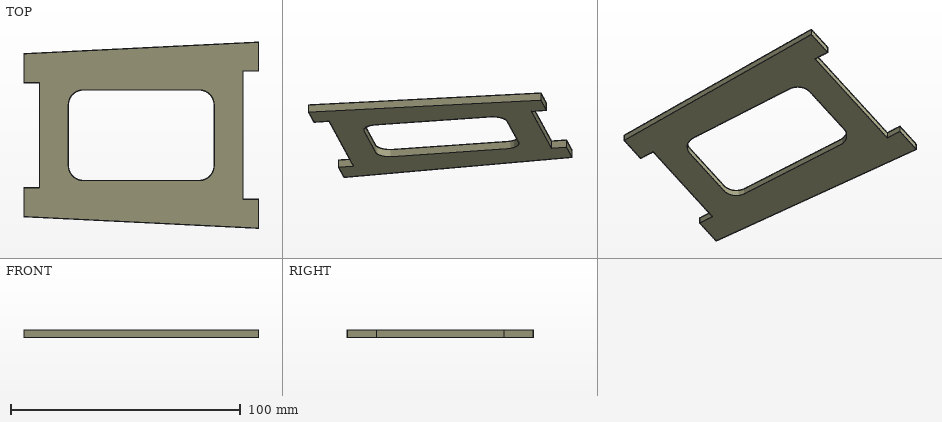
import cadquery as cq

length = 101.99
wide_end = 81.03
narrow_end = 70.95
thickness = 3.4

notch_depth = 6.65
tab_width = 12.7

window_length = 63.3
window_width = 39.3
window_corner_radius = 6.5


def tapered_plate():
    """Symmetric trapezoid, narrow at -X and wide at +X."""
    return (
        cq.Workplane("XY")
        .polyline([
            (-length / 2, -narrow_end / 2),
            (length / 2, -wide_end / 2),
            (length / 2, wide_end / 2),
            (-length / 2, narrow_end / 2),
        ])
        .close()
        .extrude(thickness)
    )


def end_notch(side, end_width):
    """Cutter for the notch between the two tabs; side is -1 for -X, +1 for +X."""
    return (
        cq.Workplane("XY")
        .center(side * length / 2, 0)
        .rect(2 * notch_depth, end_width - 2 * tab_width)
        .extrude(thickness)
    )


def window():
    """Cutter for the through window with rounded corners."""
    return (
        cq.Workplane("XY")
        .rect(window_length, window_width)
        .extrude(thickness)
        .edges("|Z")
        .fillet(window_corner_radius)
    )


result = (
    tapered_plate()
    .cut(end_notch(-1, narrow_end))
    .cut(end_notch(1, wide_end))
    .cut(window())
)